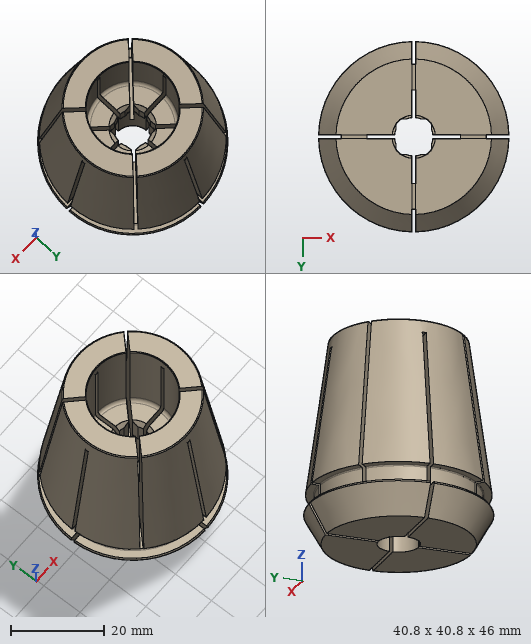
import cadquery as cq
import math

height = 46.0
taper_angle = 8.0
cone_base_radius = 20.0
cone_base_z = 11.22
top_chamfer = 0.25

neck_radius = 18.1
neck_fillet = 0.25
flange_top_z = 7.1
flange_diameter = 40.8
flange_rim_z = 6.62
flange_rim_radius = flange_diameter / 2
flange_bevel = 0.28
nose_radius = 16.65

upper_bore_radius = 10.0
upper_bore_floor_z = 23.0
upper_bore_chamfer = 0.2
upper_bore_fillet = 0.87
countersink_radius = 5.1
pilot_radius = 4.1
square_size = 7.5
square_floor_z = 16.1
shank_radius = 4.65

slot_width = 0.85
slots_per_end = 4
upper_slot_angle = 45
upper_slot_floor_z = 7.55
lower_slot_angle = 0
lower_slot_top_z = 43.05


def make_body():
    """Revolved outer shape: nose cone, flange, groove and long clamping cone."""
    cone_top_radius = cone_base_radius - (height - cone_base_z) * math.tan(math.radians(taper_angle))
    arc_gap = neck_fillet * (1 - math.sqrt(0.5))
    return (
        cq.Workplane("XZ")
        .lineTo(nose_radius, 0)
        .lineTo(flange_rim_radius, flange_rim_z)
        .lineTo(flange_rim_radius - flange_bevel, flange_top_z)
        .lineTo(neck_radius + neck_fillet, flange_top_z)
        .threePointArc(
            (neck_radius + arc_gap, flange_top_z + arc_gap),
            (neck_radius, flange_top_z + neck_fillet),
        )
        .lineTo(neck_radius, cone_base_z - neck_fillet)
        .threePointArc(
            (neck_radius + arc_gap, cone_base_z - arc_gap),
            (neck_radius + neck_fillet, cone_base_z),
        )
        .lineTo(cone_base_radius, cone_base_z)
        .lineTo(cone_top_radius, height)
        .lineTo(0, height)
        .close()
        .revolve(360, (0, 0, 0), (0, 1, 0))
        .faces(">Z")
        .chamfer(top_chamfer)
    )


def make_cavity():
    """Shank bore, square drive, countersunk pilot hole and wide upper bore."""
    countersink_bottom_z = upper_bore_floor_z - (countersink_radius - pilot_radius)
    arc_gap = upper_bore_fillet * (1 - math.sqrt(0.5))
    round_bores = (
        cq.Workplane("XZ")
        .lineTo(shank_radius, 0)
        .lineTo(shank_radius, square_floor_z)
        .lineTo(pilot_radius, square_floor_z)
        .lineTo(pilot_radius, countersink_bottom_z)
        .lineTo(countersink_radius, upper_bore_floor_z)
        .lineTo(upper_bore_radius - upper_bore_fillet, upper_bore_floor_z)
        .threePointArc(
            (upper_bore_radius - arc_gap, upper_bore_floor_z + arc_gap),
            (upper_bore_radius, upper_bore_floor_z + upper_bore_fillet),
        )
        .lineTo(upper_bore_radius, height - upper_bore_chamfer)
        .lineTo(upper_bore_radius + upper_bore_chamfer, height)
        .lineTo(0, height)
        .close()
        .revolve(360, (0, 0, 0), (0, 1, 0))
    )
    square_drive = (
        cq.Workplane("XY")
        .workplane(offset=square_floor_z)
        .rect(square_size, square_size)
        .extrude(upper_bore_floor_z - square_floor_z)
    )
    return round_bores.union(square_drive)


def cut_slots(body, first_angle, bottom_z, top_z):
    """Cut radial slots through the wall, each pair lying on one diameter."""
    slot_length = 1.1 * flange_diameter
    for index in range(slots_per_end // 2):
        slot = (
            cq.Workplane("XY")
            .workplane(offset=bottom_z)
            .rect(slot_length, slot_width)
            .extrude(top_z - bottom_z)
            .rotate((0, 0, 0), (0, 0, 1), first_angle + index * 360 / slots_per_end)
        )
        body = body.cut(slot)
    return body


collet = make_body().cut(make_cavity())
collet = cut_slots(collet, lower_slot_angle, 0, lower_slot_top_z)
result = cut_slots(collet, upper_slot_angle, upper_slot_floor_z, height)